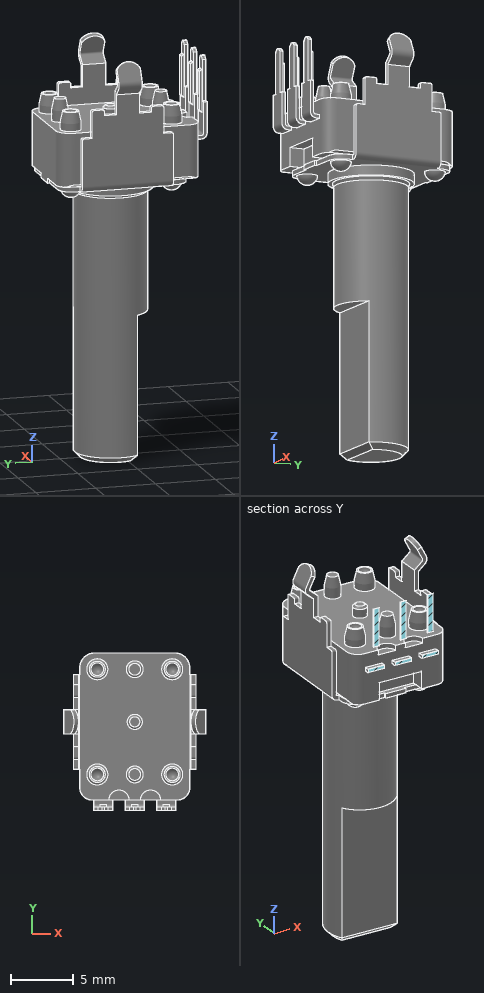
import cadquery as cq
import math


SHEET = 0.4
WALL_OUTER_X = 4.92
WALL_INNER_X = WALL_OUTER_X - SHEET
WALL_HALF_Y = 3.8
WALL_SHOULDER_Z = 4.48
WALL_UPPER_HALF_Y = 3.0
EAR_INNER_Y = 1.95
EAR_TOP_Z = 6.77
WALL_CORNER_ROUND = 0.17
EAR_NOTCH_Z = 6.3
BEND_RADIUS = 0.5
PLATE_HALF_X = 4.28
PLATE_HALF_Y = 5.35
PLATE_CORNER = 1.18
PLATE_TAB_HALF_X = 0.95
PLATE_TAB_HALF_Y = 5.53

TONGUE_HALF_Y = 0.98
TONGUE_ROUND_HEIGHT = 0.65
TONGUE_TIP_Z = 10.6
NOSE_X = 5.7
NOSE_Z = 8.85
NOSE_RADIUS = 0.57
NOSE_LEAN = math.radians(50)
TIP_LEAN = math.radians(27)

BODY_HALF_X = 4.4
BODY_BACK_Y = 5.53
BODY_FRONT_Y = -6.27
BODY_TOP_Z = 4.9
BACK_CORNER = 1.2
FRONT_CORNER = 1.0
BODY_EDGE_CHAMFER = 0.2
WINDOW_HALF_X = 2.0
WINDOW_TOP_Z = 1.95
WINDOW_DEPTH = 1.25
SCALLOP_RADIUS = 0.8
SCALLOP_DEPTH = 0.45

RIVET_X = 3.0
RIVET_Y = 4.2
RIVET_RADIUS = 0.85
RIVET_TIP_RADIUS = 0.65
RIVET_SHOULDER_Z = 5.5
RIVET_TOP_Z = 6.4
RIVET_DISH_RADIUS = 0.5
DOME_HEIGHT = 0.75
PIN_RADIUS = 0.67
PIN_TIP_RADIUS = 0.47
PIN_SHOULDER_Z = 5.8
PIN_TOP_Z = 6.75
STUB_RADIUS = 0.6
STUB_HEIGHT = 0.98
STUB_CHAMFER = 0.2

TERMINAL_PITCH = 2.53
TERMINAL_SHEET = 0.3
TERMINAL_FRONT_Y = -7.1
TERMINAL_BOTTOM_Z = 3.35
TERMINAL_SHOULDER_Z = 6.4
TERMINAL_TOP_Z = 10.08
TERMINAL_HALF_WIDTH = 0.78
TERMINAL_BEND = 0.5
BLADE_HALF_WIDTH = 0.4
BLADE_TIP_HALF_WIDTH = 0.1
BLADE_TAPER_HEIGHT = 0.27
RIB_HALF_WIDTH = 0.27
RIB_HEIGHT = 0.2
RIB_END_TAPER = 0.15
RIB_BOTTOM_Z = 5.43
RIB_TOP_Z = 8.95

COLLAR_RADIUS = 3.47
COLLAR_BOTTOM_Z = -0.8
NECK_RADIUS = 3.1
NECK_BOTTOM_Z = -1.1
SHAFT_RADIUS = 3.0
SHAFT_END_Z = -23.1
SHAFT_CHAMFER = 0.5
FLAT_Y = -SHAFT_RADIUS / 2
FLAT_TOP_Z = -11.02

OVERLAP = 0.17


def block(x0, x1, y0, y1, z0, z1):
    """Box between two opposite corners."""
    return cq.Workplane("XY").box(x1 - x0, y1 - y0, z1 - z0, centered=False).translate((x0, y0, z0))


def turned(profile, x=0, y=0):
    """Revolve a closed (radius, z) polyline about a vertical axis through (x, y)."""
    solid = cq.Workplane("XZ").polyline(profile).close().revolve(360, (0, 0, 0), (0, 1, 0))
    return solid.translate((x, y, 0))


def make_body():
    body = block(-BODY_HALF_X, BODY_HALF_X, BODY_FRONT_Y, BODY_BACK_Y, SHEET, BODY_TOP_Z)
    body = body.edges("|Y and <Z").chamfer(BODY_EDGE_CHAMFER)
    body = body.edges("|Z and >Y").fillet(BACK_CORNER)
    body = body.edges("|Z and <Y").fillet(FRONT_CORNER)
    window_back_y = BODY_FRONT_Y + WINDOW_DEPTH
    window = block(-WINDOW_HALF_X, WINDOW_HALF_X, BODY_FRONT_Y, window_back_y, SHEET, WINDOW_TOP_Z)
    scallops = (
        cq.Workplane("XY", origin=(0, BODY_FRONT_Y, BODY_TOP_Z))
        .pushPoints([(-TERMINAL_PITCH / 2, 0), (TERMINAL_PITCH / 2, 0)])
        .circle(SCALLOP_RADIUS)
        .extrude(-SCALLOP_DEPTH)
    )
    return body.cut(window).cut(scallops)


def nose_point(radius, angle):
    """Point on an arc about the bend centre of the spring nose, angle from +X."""
    centre_x = NOSE_X - NOSE_RADIUS
    return centre_x + radius * math.cos(angle), NOSE_Z + radius * math.sin(angle)


def tip_point(radius):
    """End of the leaning tongue tip, on the face whose nose arc has this radius."""
    start_x, start_z = nose_point(radius, TIP_LEAN)
    outer_start_z = nose_point(NOSE_RADIUS, TIP_LEAN)[1]
    reach = (TONGUE_TIP_Z - outer_start_z) / math.cos(TIP_LEAN)
    return start_x - reach * math.sin(TIP_LEAN), start_z + reach * math.cos(TIP_LEAN)


def make_tongue_trim():
    """Waste beyond the rounded end of the +X tongue, drawn on the leaning face of its tip."""
    end_x, end_z = tip_point(NOSE_RADIUS)
    face = cq.Plane(
        origin=(end_x, 0, end_z),
        xDir=(0, 1, 0),
        normal=(math.cos(TIP_LEAN), 0, math.sin(TIP_LEAN)),
    )
    return (
        cq.Workplane(face)
        .moveTo(-TONGUE_HALF_Y, -TONGUE_ROUND_HEIGHT)
        .threePointArc((0, 0), (TONGUE_HALF_Y, -TONGUE_ROUND_HEIGHT))
        .lineTo(TONGUE_HALF_Y, OVERLAP)
        .lineTo(-TONGUE_HALF_Y, OVERLAP)
        .close()
        .extrude(2 * SHEET, both=True)
    )


def make_side_wall():
    """The +X bracket wall with its spring tongue, as bent sheet in the XZ plane."""
    inner_nose = NOSE_RADIUS - SHEET
    outer_start = nose_point(NOSE_RADIUS, -NOSE_LEAN)
    inner_start = nose_point(inner_nose, -NOSE_LEAN)
    outer_kink_z = outer_start[1] - (outer_start[0] - WALL_OUTER_X) / math.tan(NOSE_LEAN)
    inner_kink_z = inner_start[1] - (inner_start[0] - WALL_INNER_X) / math.tan(NOSE_LEAN)
    inner_bend = BEND_RADIUS - SHEET
    bend_x = WALL_OUTER_X - BEND_RADIUS
    diagonal = math.sqrt(0.5)
    wall = (
        cq.Workplane("XZ", origin=(0, WALL_HALF_Y, 0))
        .moveTo(0, 0)
        .lineTo(bend_x, 0)
        .threePointArc(
            (bend_x + BEND_RADIUS * diagonal, BEND_RADIUS * (1 - diagonal)), (WALL_OUTER_X, BEND_RADIUS)
        )
        .lineTo(WALL_OUTER_X, outer_kink_z)
        .lineTo(*outer_start)
        .threePointArc(nose_point(NOSE_RADIUS, 0), nose_point(NOSE_RADIUS, TIP_LEAN))
        .lineTo(*tip_point(NOSE_RADIUS))
        .lineTo(*tip_point(inner_nose))
        .lineTo(*nose_point(inner_nose, TIP_LEAN))
        .threePointArc(nose_point(inner_nose, 0), inner_start)
        .lineTo(WALL_INNER_X, inner_kink_z)
        .lineTo(WALL_INNER_X, BEND_RADIUS)
        .threePointArc(
            (bend_x + inner_bend * diagonal, BEND_RADIUS - inner_bend * diagonal), (bend_x, SHEET)
        )
        .lineTo(0, SHEET)
        .close()
        .extrude(2 * WALL_HALF_Y)
    )
    half = [
        (WALL_HALF_Y, 0),
        (WALL_HALF_Y, WALL_SHOULDER_Z),
        (WALL_UPPER_HALF_Y, WALL_SHOULDER_Z),
        (WALL_UPPER_HALF_Y, EAR_TOP_Z),
        (EAR_INNER_Y, EAR_TOP_Z),
        (EAR_INNER_Y, EAR_NOTCH_Z),
        (TONGUE_HALF_Y, EAR_NOTCH_Z),
        (TONGUE_HALF_Y, TONGUE_TIP_Z),
    ]
    outline = half + [(-y, z) for y, z in reversed(half)]
    mask = cq.Workplane("YZ").polyline(outline).close().extrude(NOSE_X)
    rounded = [(WALL_HALF_Y, WALL_SHOULDER_Z), (WALL_UPPER_HALF_Y, EAR_TOP_Z), (EAR_INNER_Y, EAR_TOP_Z)]
    for y, z in rounded:
        for side in (-1, 1):
            corner = cq.selectors.NearestToPointSelector((NOSE_X / 2, side * y, z))
            mask = mask.edges("|X").edges(corner).fillet(WALL_CORNER_ROUND)
    return wall.intersect(mask).cut(make_tongue_trim())


def make_bracket():
    plate = block(-PLATE_HALF_X, PLATE_HALF_X, -PLATE_HALF_Y, PLATE_HALF_Y, 0, SHEET)
    plate = plate.edges("|Z").fillet(PLATE_CORNER)
    tab = block(-PLATE_TAB_HALF_X, PLATE_TAB_HALF_X, -PLATE_TAB_HALF_Y, PLATE_TAB_HALF_Y, 0, SHEET)
    wall = make_side_wall()
    return plate.union(tab).union(wall).union(wall.mirror("YZ"))


def make_rivet(x, y):
    """Tapered post with a hemispherical dish in its end, and a domed head below the plate."""
    root_z = BODY_TOP_Z - OVERLAP
    post = turned(
        [
            (0, root_z),
            (RIVET_RADIUS, root_z),
            (RIVET_RADIUS, RIVET_SHOULDER_Z),
            (RIVET_TIP_RADIUS, RIVET_TOP_Z),
            (0, RIVET_TOP_Z),
        ],
        x,
        y,
    )
    dish = cq.Workplane("XY").sphere(RIVET_DISH_RADIUS).translate((x, y, RIVET_TOP_Z))
    sphere_radius = (RIVET_RADIUS**2 + DOME_HEIGHT**2) / (2 * DOME_HEIGHT)
    dome = cq.Workplane("XY").sphere(sphere_radius).translate((x, y, sphere_radius - DOME_HEIGHT))
    dome_depth = DOME_HEIGHT + OVERLAP
    below_plate = cq.Workplane("XY", origin=(x, y, OVERLAP)).circle(sphere_radius).extrude(-dome_depth)
    return post.cut(dish).union(dome.intersect(below_plate))


def make_pin(y):
    root_z = BODY_TOP_Z - OVERLAP
    return turned(
        [
            (0, root_z),
            (PIN_RADIUS, root_z),
            (PIN_RADIUS, PIN_SHOULDER_Z),
            (PIN_TIP_RADIUS, PIN_TOP_Z),
            (0, PIN_TOP_Z),
        ],
        0,
        y,
    )


def make_stub():
    stub = cq.Workplane("XY", origin=(0, 0, BODY_TOP_Z)).circle(STUB_RADIUS).extrude(STUB_HEIGHT)
    return stub.faces(">Z").chamfer(STUB_CHAMFER)


def make_terminal(x):
    """L-shaped terminal: a wide foot leaving the body, then a narrow blade with a rib behind it."""
    back_y = TERMINAL_FRONT_Y + TERMINAL_SHEET
    foot_top_z = TERMINAL_BOTTOM_Z + TERMINAL_SHEET
    foot = (
        cq.Workplane("YZ", origin=(-TERMINAL_HALF_WIDTH, 0, 0))
        .polyline(
            [
                (BODY_FRONT_Y + OVERLAP, TERMINAL_BOTTOM_Z),
                (TERMINAL_FRONT_Y, TERMINAL_BOTTOM_Z),
                (TERMINAL_FRONT_Y, TERMINAL_SHOULDER_Z),
                (back_y, TERMINAL_SHOULDER_Z),
                (back_y, foot_top_z),
                (BODY_FRONT_Y + OVERLAP, foot_top_z),
            ]
        )
        .close()
        .extrude(2 * TERMINAL_HALF_WIDTH)
    )
    foot = foot.edges("|X and <Y and <Z").fillet(TERMINAL_BEND)
    inner_bend = cq.selectors.NearestToPointSelector((0, back_y, foot_top_z))
    foot = foot.edges("|X").edges(inner_bend).fillet(TERMINAL_BEND - TERMINAL_SHEET)
    taper_z = TERMINAL_TOP_Z - BLADE_TAPER_HEIGHT
    blade = (
        cq.Workplane("XZ", origin=(0, back_y, 0))
        .polyline(
            [
                (-BLADE_HALF_WIDTH, TERMINAL_SHOULDER_Z - OVERLAP),
                (-BLADE_HALF_WIDTH, taper_z),
                (-BLADE_TIP_HALF_WIDTH, TERMINAL_TOP_Z),
                (BLADE_TIP_HALF_WIDTH, TERMINAL_TOP_Z),
                (BLADE_HALF_WIDTH, taper_z),
                (BLADE_HALF_WIDTH, TERMINAL_SHOULDER_Z - OVERLAP),
            ]
        )
        .close()
        .extrude(TERMINAL_SHEET)
    )
    rib = (
        cq.Workplane("YZ", origin=(-RIB_HALF_WIDTH, 0, 0))
        .polyline(
            [
                (back_y, RIB_BOTTOM_Z),
                (back_y + RIB_HEIGHT, RIB_BOTTOM_Z + RIB_END_TAPER),
                (back_y + RIB_HEIGHT, RIB_TOP_Z - RIB_END_TAPER),
                (back_y, RIB_TOP_Z),
            ]
        )
        .close()
        .extrude(2 * RIB_HALF_WIDTH)
    )
    return foot.union(blade).union(rib).translate((x, 0, 0))


def make_shaft():
    shaft = turned(
        [
            (0, OVERLAP),
            (COLLAR_RADIUS, OVERLAP),
            (COLLAR_RADIUS, COLLAR_BOTTOM_Z),
            (NECK_RADIUS, COLLAR_BOTTOM_Z),
            (SHAFT_RADIUS, NECK_BOTTOM_Z),
            (SHAFT_RADIUS, SHAFT_END_Z),
            (0, SHAFT_END_Z),
        ]
    )
    flat = block(-SHAFT_RADIUS, SHAFT_RADIUS, -SHAFT_RADIUS, FLAT_Y, SHAFT_END_Z, FLAT_TOP_Z)
    return shaft.cut(flat).faces("<Z").chamfer(SHAFT_CHAMFER)


result = make_body().union(make_bracket()).union(make_shaft()).union(make_stub())
for side_y in (-RIVET_Y, RIVET_Y):
    result = result.union(make_pin(side_y))
    for side_x in (-RIVET_X, RIVET_X):
        result = result.union(make_rivet(side_x, side_y))
for place in (-1, 0, 1):
    result = result.union(make_terminal(place * TERMINAL_PITCH))